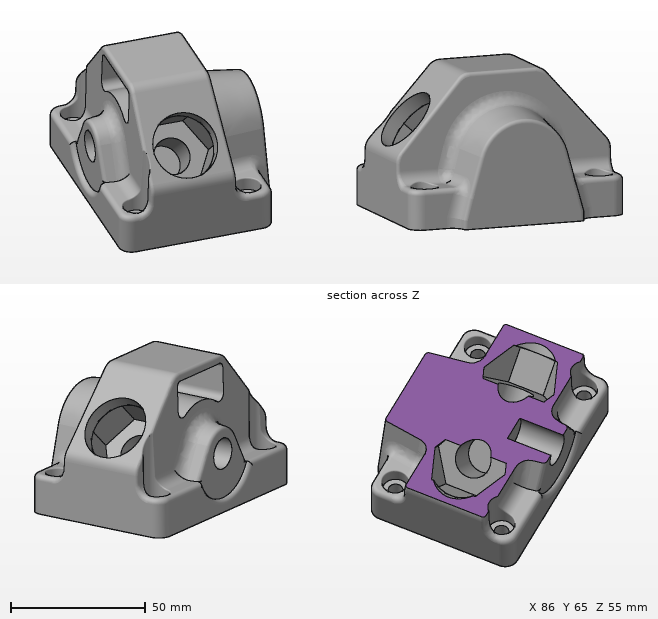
import cadquery as cq
import math


base_width = 86.0
base_front = -28.0
base_rear = 32.0
base_height = 15.0
base_corner_radius = 5.0
base_edge_radius = 2.0

block_height = 55.0
block_top_half_width = 16.0
shoulder_height = 25.0
block_foot_half_depth = 17.0
block_draft = 2.0
gable_radius = 6.0
block_edge_radius = 1.5
block_side_edge_radius = 1.2
blend_radius = 5.0

axis_height = 22.0
boss_draft = 8.0
boss_edge_radius = 1.5
front_boss_face = -26.0
front_boss_radius = 10.0
front_boss_flank_lean = 30.0
front_boss_foot_height = 5.0
front_boss_surround = 12.0
front_bore_diameter = 12.0
front_bore_depth = 18.0
recess_radius = 17.3
rear_boss_face = 37.0
rear_boss_radius = 18.0
rear_boss_flank_lean = 16.0
rear_boss_foot_height = 3.5

mounting_x = 35.0
mounting_front_y = -20.0
mounting_rear_y = 24.0
mounting_diameter = 5.5
spotface_diameter = 10.0
spotface_floor = 10.0
spotface_rim_radius = 0.5

nut_across_flats = 25.0
nut_center_height = 36.1
nut_mouth_depth = 6.0
nut_floor_depth = 20.0
nut_hole_diameter = 14.0
nut_hole_depth = 15.0

window_half_width = 15.0
window_top = 52.0
window_arc_radius = 19.0
window_top_corner_radius = 2.0
window_bottom_corner_radius = 3.0
rear_wall = 3.0

half_width = base_width / 2
slope_run = half_width - block_top_half_width
slope_rise = block_height - shoulder_height
slope_length = math.hypot(slope_run, slope_rise)
block_lean = math.tan(math.radians(block_draft))
boss_growth = math.tan(math.radians(boss_draft))


def block_half_depth(z):
    return block_foot_half_depth - (z - base_height) * block_lean


crest_half_depth = block_half_depth(block_height)

touch = 0.01
rim_tolerance = 0.02


def xz_plane(y):
    """Workplane at the given Y, with local axes X and Z and its normal along -Y."""
    return cq.Workplane("XZ", origin=(0, y, 0))


def edges_where(body, test):
    """Edges of the body whose bounding box passes the test."""
    return [edge for edge in body.edges().vals() if test(edge.BoundingBox())]


def fillet_where(body, test, radius):
    return body.newObject(edges_where(body, test)).fillet(radius)




def make_base():
    depth = base_rear - base_front
    base = cq.Workplane("XY", origin=(0, (base_front + base_rear) / 2, 0)).box(
        base_width, depth, base_height, centered=(True, True, False)
    )
    return base.edges("|Z").fillet(base_corner_radius)


def make_block():
    """Gable outline along Y, cut to a depth that shrinks upward by the block draft."""
    gable = (
        xz_plane(base_rear)
        .moveTo(-half_width, 0)
        .lineTo(-half_width, shoulder_height)
        .lineTo(-block_top_half_width, block_height)
        .lineTo(block_top_half_width, block_height)
        .lineTo(half_width, shoulder_height)
        .lineTo(half_width, 0)
        .close()
        .extrude(base_rear - base_front)
        .edges("|Y and (not <Z)")
        .fillet(gable_radius)
    )
    foot = block_half_depth(0)
    crest = block_half_depth(block_height)
    side = (
        cq.Workplane("YZ", origin=(-half_width, 0, 0))
        .polyline([(-foot, 0), (foot, 0), (crest, block_height), (-crest, block_height)])
        .close()
        .extrude(base_width)
    )
    return gable.intersect(side)


def is_block_foot(box):
    level = abs(box.zmin - base_height) < touch and box.zlen < touch
    return level and box.ylen < touch and abs(abs(box.ymin) - block_foot_half_depth) < touch


def is_crest_edge(box):
    return box.zmin > block_height - touch and box.ylen < touch


def round_outer_edges(body):
    """Round the two edge loops that run over the gable and along the top of the base.

    Each loop is smooth all round; its radius changes along the curved stretches between the slopes
    of the block, its upright sides and the base.
    """
    rounding = cq.occ_impl.shapes.BRepFilletAPI_MakeFillet(body.solids().val().wrapped)
    for edge in edges_where(body, is_crest_edge):
        rounding.Add(block_edge_radius, edge.wrapped)
    for loop in range(1, rounding.NbContours() + 1):
        for index in range(1, rounding.NbEdges(loop) + 1):
            box = cq.Edge(rounding.Edge(loop, index)).BoundingBox()
            if box.zmax < base_height + touch:
                rounding.SetRadius(base_edge_radius, loop, index)
            elif box.xlen < touch and box.zmin > base_height + touch:
                rounding.SetRadius(block_side_edge_radius, loop, index)
    return cq.Workplane(cq.Shape.cast(rounding.Shape()).Solids()[0])


def join_base_and_block():
    return fillet_where(make_base().union(make_block()), is_block_foot, blend_radius)




def boss_outline(y, radius, lean, foot_height):
    """Round top on the boss axis, tangent leaning flanks, and upright sides below the foot height."""
    angle = math.radians(lean)
    shoulder_x = radius * math.cos(angle)
    shoulder_z = axis_height + radius * math.sin(angle)
    foot_x = shoulder_x + (shoulder_z - foot_height) * math.tan(angle)
    return (
        xz_plane(y)
        .moveTo(-foot_x, 0)
        .lineTo(-foot_x, foot_height)
        .lineTo(-shoulder_x, shoulder_z)
        .threePointArc((0, axis_height + radius), (shoulder_x, shoulder_z))
        .lineTo(foot_x, foot_height)
        .lineTo(foot_x, 0)
        .close()
        .wire()
        .val()
    )


def make_boss(face_y, radius, lean, foot_height):
    """Boss from its end face to the middle plane of the block."""
    inner_radius = radius + abs(face_y) * boss_growth
    outer = boss_outline(face_y, radius, lean, foot_height)
    inner = boss_outline(0, inner_radius, lean, foot_height)
    return cq.Workplane(cq.Solid.makeLoft([outer, inner], True))


def add_rear_boss(body):
    body = body.union(
        make_boss(rear_boss_face, rear_boss_radius, rear_boss_flank_lean, rear_boss_foot_height)
    )
    widest = mounting_x - spotface_diameter / 2

    def is_crease(box):
        """Meeting line of the boss with the block, the top of the base and its rear wall."""
        if abs(box.center.x) > widest or box.zmax > block_height - gable_radius:
            return False
        if box.ymin < crest_half_depth or box.ymax > base_rear + touch:
            return False
        on_rear_wall = box.ymin > base_rear - touch
        if box.zmax < rear_boss_foot_height + touch:
            return on_rear_wall and box.xlen < touch and box.zlen > touch
        over_the_top = box.xlen > rear_boss_radius
        along_the_flank = touch < box.xlen < blend_radius
        return over_the_top or along_the_flank

    def is_face_rim(box):
        return box.ymin > rear_boss_face - touch and box.zmax > touch

    body = fillet_where(body, is_crease, blend_radius)
    return fillet_where(body, is_face_rim, boss_edge_radius)


def make_front_boss():
    """Front boss with its blend into the front face of the block."""
    boss = make_boss(
        front_boss_face, front_boss_radius, front_boss_flank_lean, front_boss_foot_height
    )
    body = make_block().union(boss)
    blend_start = -block_half_depth(0)

    def is_crease(box):
        if box.zmin < front_boss_foot_height - touch or box.zmax > block_height - gable_radius:
            return False
        on_block = blend_start - touch < box.ymin and box.ymax < -crest_half_depth
        inside = max(-box.xmin, box.xmax) < half_width - gable_radius
        return on_block and inside and box.zlen > touch

    def is_face_rim(box):
        return box.ymax < front_boss_face + touch and box.zmax > front_boss_foot_height + touch

    body = fillet_where(body, is_crease, blend_radius)
    body = fillet_where(body, is_face_rim, boss_edge_radius)
    keep_radius = front_boss_radius + front_boss_surround
    keep = cq.Workplane("XY").box(
        2 * keep_radius, -base_front, axis_height + keep_radius, centered=(True, False, False)
    )
    return body.intersect(keep.translate((0, base_front, 0)))


def make_front_recess():
    """Round recess in the front of the base, down to the boss face, with a rounded lip."""
    depth = front_boss_face - base_front
    return (
        cq.Workplane("XY")
        .moveTo(0, base_front)
        .lineTo(recess_radius + depth, base_front)
        .radiusArc((recess_radius, front_boss_face), depth)
        .lineTo(0, front_boss_face)
        .close()
        .revolve(360, (0, 0, 0), (0, 1, 0))
        .translate((0, 0, axis_height))
    )




def make_front_bore():
    bore = xz_plane(front_boss_face + front_bore_depth).center(0, axis_height)
    return bore.circle(front_bore_diameter / 2).extrude(front_bore_depth)


def make_window():
    """Front window with an arched sill; its back is parallel to the drafted rear face."""
    arc_center_to_corner = window_arc_radius + window_bottom_corner_radius
    corner_x = window_half_width - window_bottom_corner_radius
    corner_z = axis_height + math.sqrt(arc_center_to_corner**2 - corner_x**2)
    sill_x = corner_x * window_arc_radius / arc_center_to_corner
    sill_z = axis_height + (corner_z - axis_height) * window_arc_radius / arc_center_to_corner
    opening = (
        xz_plane(base_rear)
        .moveTo(-window_half_width, window_top)
        .lineTo(window_half_width, window_top)
        .lineTo(window_half_width, corner_z)
        .radiusArc((sill_x, sill_z), window_bottom_corner_radius)
        .threePointArc((0, axis_height + window_arc_radius), (-sill_x, sill_z))
        .radiusArc((-window_half_width, corner_z), window_bottom_corner_radius)
        .close()
        .extrude(base_rear - base_front)
        .edges("|Y and >Z")
        .fillet(window_top_corner_radius)
    )
    foot = block_half_depth(0) - rear_wall
    crest = block_half_depth(block_height) - rear_wall
    reach = (
        cq.Workplane("YZ", origin=(-half_width, 0, 0))
        .polyline([(base_front, 0), (foot, 0), (crest, block_height), (base_front, block_height)])
        .close()
        .extrude(base_width)
    )
    return opening.intersect(reach)


def make_nut_pocket(side):
    """Round mouth, hexagonal pocket and blind hole, square to the slope on the given side (-1 or 1)."""
    center_x = half_width - (nut_center_height - shoulder_height) * slope_run / slope_rise
    outward = cq.Vector(side * slope_rise / slope_length, 0, slope_run / slope_length)
    center = cq.Vector(side * center_x, 0, nut_center_height)
    uphill = cq.Vector(-side * slope_run / slope_length, 0, slope_rise / slope_length)

    def at_depth(depth):
        return cq.Workplane(cq.Plane(center - outward * depth, uphill, outward))

    mouth = at_depth(0).circle(nut_across_flats / 2).extrude(-nut_mouth_depth)
    hexagon = at_depth(nut_mouth_depth).polygon(6, nut_across_flats, circumscribed=True)
    seat = hexagon.extrude(nut_mouth_depth - nut_floor_depth)
    hole = at_depth(nut_floor_depth).circle(nut_hole_diameter / 2).extrude(-nut_hole_depth)
    return mouth.union(seat).union(hole)


def is_spotface_rim(edge, center_x, center_y):
    """True for the edges around the open end of a spotface, whatever surface it opens through."""
    samples = [edge.startPoint(), edge.positionAt(0.5), edge.endPoint()]
    on_wall = all(
        abs(math.hypot(point.x - center_x, point.y - center_y) - spotface_diameter / 2) < rim_tolerance
        for point in samples
    )
    return on_wall and edge.BoundingBox().zmin > spotface_floor + touch


def cut_mounting_hole(body, center_x, center_y):
    hole = cq.Workplane("XY").center(center_x, center_y).circle(mounting_diameter / 2)
    spotface = cq.Workplane("XY", origin=(center_x, center_y, spotface_floor)).circle(spotface_diameter / 2)
    body = body.cut(hole.extrude(base_height)).cut(spotface.extrude(block_height))
    rim = [edge for edge in body.edges().vals() if is_spotface_rim(edge, center_x, center_y)]
    return body.newObject(rim).fillet(spotface_rim_radius)


def make_housing():
    body = round_outer_edges(join_base_and_block())
    body = add_rear_boss(body)
    body = body.union(make_front_boss())
    body = body.cut(make_front_recess())
    body = body.cut(make_front_bore())
    body = body.cut(make_window())
    for side in (-1, 1):
        body = body.cut(make_nut_pocket(side))
        for center_y in (mounting_front_y, mounting_rear_y):
            body = cut_mounting_hole(body, side * mounting_x, center_y)
    return body


result = make_housing()